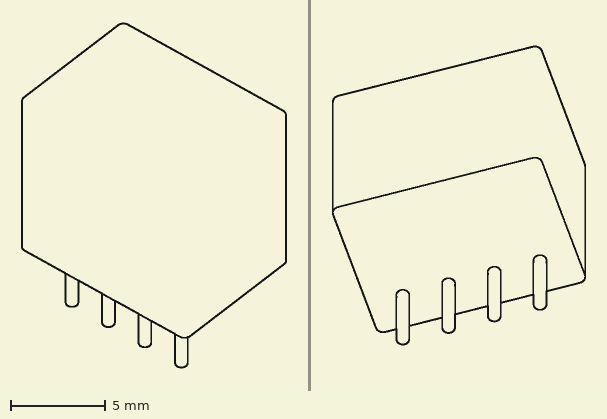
import cadquery as cq

housing_length = 11.6
housing_width = 8.5
overall_height = 14.5
pin_drop = 4.15
housing_height = overall_height - pin_drop
upright_edge_radius = 0.4
top_edge_radius = 0.2

pin_count = 4
pin_pitch = 2.54
pin_diameter = 0.7
pin_tip_radius = 0.15
pin_row_y = -2.23
first_pin_x = -(pin_count - 1) * pin_pitch / 2


def make_housing():
    """Block standing on Z = 0, with a flat, sharp-edged underside."""
    block = cq.Workplane("XY").box(
        housing_length, housing_width, housing_height, centered=(True, True, False)
    )
    block = block.edges("|Z").fillet(upright_edge_radius)
    return block.faces(">Z").edges().fillet(top_edge_radius)


def make_pin(x):
    """Round pin hanging from the underside of the housing."""
    pin = cq.Workplane("XY").center(x, pin_row_y).circle(pin_diameter / 2).extrude(-pin_drop)
    return pin.faces("<Z").edges().fillet(pin_tip_radius)


housing = make_housing()
pins = [make_pin(first_pin_x + index * pin_pitch) for index in range(pin_count)]

result = cq.Compound.makeCompound([housing.val(), *[pin.val() for pin in pins]])